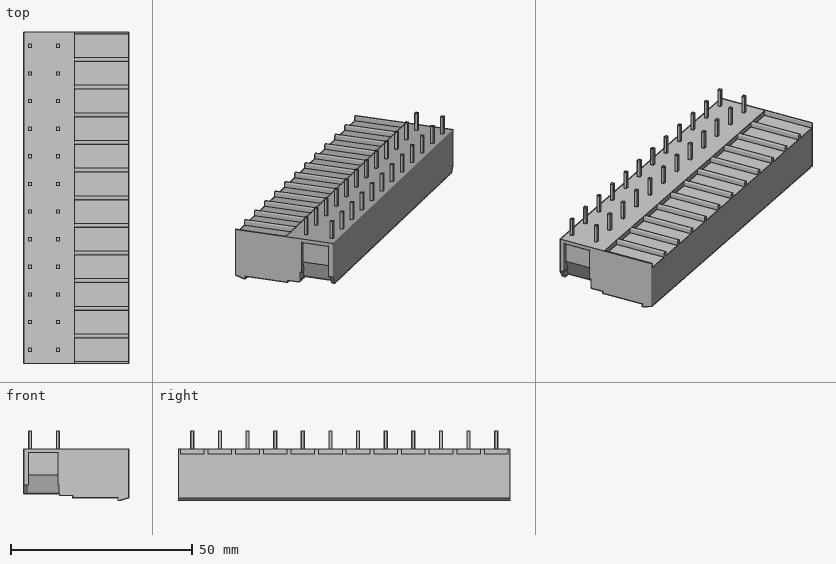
import cadquery as cq

pitch = 7.62
pole_count = 12
length = pitch * pole_count
width = 29.0
overall_height = 19.29

pin_length = 5.0
pin_size_x = 0.8
pin_size_y = 0.9
first_pin_x = 1.8
pin_rows = 2

edge_radius = 0.2

head_bottom = 12.4
head_width = 9.8
step_bottom = 12.9
step_slope = 0.2
step_end = 13.5
base_bottom = 13.5
latch_tip = overall_height - pin_length
latch_start = 26.0
latch_tip_width = 0.4

shelf_start = 14.05
shelf_depth = 1.35
rib_half_width = 0.55
rib_radius = 0.3

socket_x_min = 1.4
socket_x_max = 9.4
socket_top = 1.05
socket_depth = 1.15
slope_top = 7.25
slope_bottom = 11.9
slope_depth = 2.9
floor_end_depth = 3.25

mouth_top = 10.0
mouth_x_min = 0.95
corner_cut = 1.45


def extrude_along_x(points, x_start, x_end):
    """Extrude a YZ outline between two X positions."""
    return cq.Workplane("YZ", origin=(x_start, 0, 0)).polyline(points).close().extrude(x_end - x_start)


def housing():
    """Solid body along the full length, rounded around its head face and its back vertical edges."""
    outline = [
        (0, 0),
        (width, 0),
        (width, -base_bottom),
        (latch_start + latch_tip_width, -latch_tip),
        (latch_start, -latch_tip),
        (latch_start, -base_bottom),
        (step_end, -base_bottom),
        (step_end, -step_bottom),
        (head_width + step_slope, -step_bottom),
        (head_width, -head_bottom),
        (0, -head_bottom),
    ]
    block = cq.Workplane("XZ").polyline(outline).close().extrude(-length)
    block = block.faces("<X").edges().fillet(edge_radius)
    return block.faces(">X").edges("|Z").fillet(edge_radius)


def shelf_pocket(pole):
    """Space between two neighbouring ribs, flared at the top to round the ribs' upper edges."""
    y_low = pole * pitch + rib_half_width
    y_high = (pole + 1) * pitch - rib_half_width
    outline = (
        cq.Workplane("YZ", origin=(shelf_start, 0, 0))
        .moveTo(y_low - rib_radius, 0)
        .radiusArc((y_low, -rib_radius), rib_radius)
        .lineTo(y_low, -shelf_depth)
        .lineTo(y_high, -shelf_depth)
        .lineTo(y_high, -rib_radius)
        .radiusArc((y_high + rib_radius, 0), rib_radius)
        .close()
    )
    return outline.extrude(width - shelf_start)


def end_socket():
    """Socket volume at the Y = 0 end: straight floor, sloping floor, wide mouth and corner cut."""
    slope_run = slope_depth - socket_depth
    slope_drop = slope_bottom - slope_top
    floor = [
        (0, -socket_top),
        (socket_depth, -socket_top),
        (socket_depth, -slope_top),
        (slope_depth, -slope_bottom),
        (floor_end_depth, -head_bottom),
        (0, -head_bottom),
    ]
    mouth_depth = socket_depth + (mouth_top - slope_top) * slope_run / slope_drop
    mouth = [
        (0, -mouth_top),
        (mouth_depth, -mouth_top),
        (slope_depth, -slope_bottom),
        (floor_end_depth, -head_bottom),
        (0, -head_bottom),
    ]
    corner = [(0, -mouth_top), (corner_cut, -head_bottom), (0, -head_bottom)]
    socket = extrude_along_x(floor, socket_x_min, socket_x_max)
    socket = socket.union(extrude_along_x(mouth, mouth_x_min, head_width))
    return socket.union(extrude_along_x(corner, 0, head_width))


def pins():
    """Square-cut pins standing on the top face in two rows."""
    centres = [
        (first_pin_x + row * pitch, pole * pitch + pitch / 2)
        for row in range(pin_rows)
        for pole in range(pole_count)
    ]
    return cq.Workplane("XY").pushPoints(centres).rect(pin_size_x, pin_size_y).extrude(pin_length)


result = housing()
for pole in range(pole_count):
    result = result.cut(shelf_pocket(pole))
near_socket = end_socket()
far_socket = near_socket.mirror("XZ").translate((0, length, 0))
result = result.cut(near_socket).cut(far_socket)
result = result.union(pins())